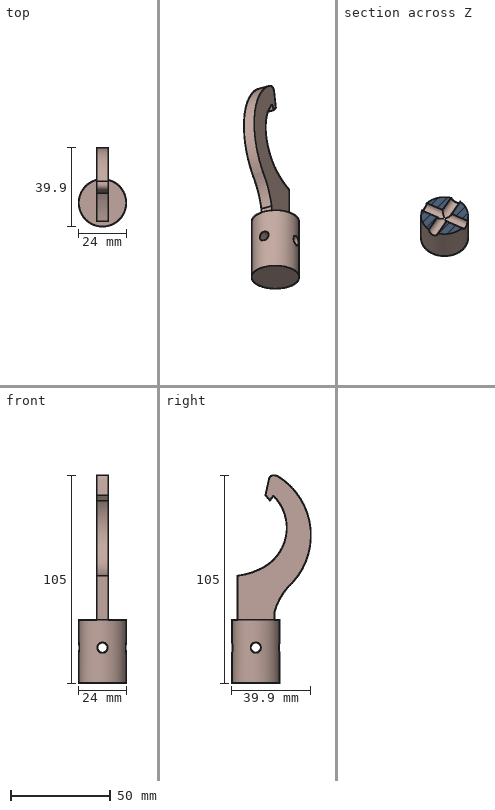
import cadquery as cq

socket_diameter = 24.0
socket_radius = socket_diameter / 2
socket_height = 32.0
pin_hole_diameter = 5.0
pin_hole_height = 18.0

total_height = 105.0
plate_thickness = 6.0
plate_front = -9.2
plate_back = 9.5
hook_back = 39.9 - socket_radius

front_foot = (plate_front, socket_height)
front_top = (plate_front, 54.3)
shoulder_start = (-8.6, 54.4)
shoulder_middle = (-3.5, 55.4)
inner_start = (1.5, 57.3)
inner_middle = (15.5, 77.3)
tooth_root = (8.9, 94.5)
tooth_point = (7.1, 92.2)
tooth_corner = (4.8, 94.9)
tip_front = (6.6, 103.0)
tip_middle = (7.7, 104.6)
tip_back = (10.8, 104.7)
tip_crown = (9.2, total_height)
outer_middle = (hook_back, 74.8)
neck_start = (18.9, 51.1)
neck_middle = (13.2, 44.4)
neck_end = (plate_back, 35.7)
back_foot = (plate_back, socket_height)


def make_socket():
    """Solid cylinder with two crossing pin holes."""
    socket = cq.Workplane("XY").circle(socket_radius).extrude(socket_height)
    for plane in ("XZ", "YZ"):
        hole = (
            cq.Workplane(plane)
            .center(0, pin_hole_height)
            .circle(pin_hole_diameter / 2)
            .extrude(socket_diameter, both=True)
        )
        socket = socket.cut(hole)
    return socket


def make_hook():
    """Curved spanner hook with a small tooth at its tip."""
    return (
        cq.Workplane("YZ")
        .moveTo(*front_foot)
        .lineTo(*front_top)
        .lineTo(*shoulder_start)
        .threePointArc(shoulder_middle, inner_start)
        .threePointArc(inner_middle, tooth_root)
        .lineTo(*tooth_point)
        .lineTo(*tooth_corner)
        .lineTo(*tip_front)
        .threePointArc(tip_middle, tip_crown)
        .lineTo(*tip_back)
        .threePointArc(outer_middle, neck_start)
        .threePointArc(neck_middle, neck_end)
        .lineTo(*back_foot)
        .close()
        .extrude(plate_thickness / 2, both=True)
    )


result = make_socket().union(make_hook())